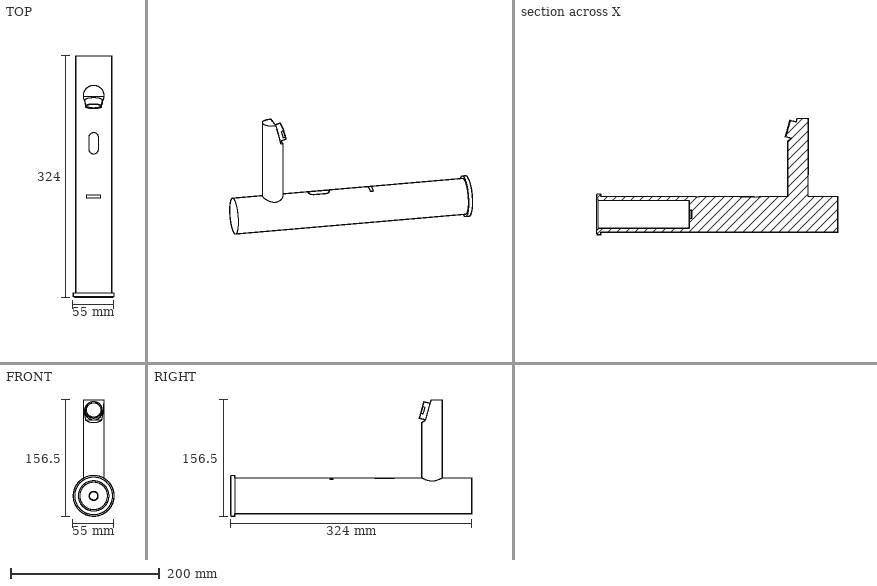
import cadquery as cq
import math

LENGTH = 324.0
BODY_RADIUS = 24.3
FLANGE_RADIUS = 27.5
FLANGE_WIDTH = 5.8
FLANGE_CHAMFER_RADIAL = 2.3
FLANGE_CHAMFER_AXIAL = 1.0
BORE_RADIUS = 18.5
BORE_DEPTH = 124.5
MOUTH_RADIUS = 20.5
MOUTH_DEPTH = 2.0
INLET_RADIUS = 5.5
INLET_DEPTH = 3.2
INLET_MOUTH_RADIUS = 6.0
INLET_MOUTH_DEPTH = 1.0

SPOUT_RADIUS = 14.0
SPOUT_Y = LENGTH - 53.5
SPOUT_TOP = 156.5 - FLANGE_RADIUS
FACE_TILT = 15.5
FACE_OFFSET = 1.3
FACE_DROP = 27.2
LEDGE_DROP = 30.8

OUTLET_RADIUS = 11.7
OUTLET_LENGTH = 8.7
OUTLET_DROP = 16.0
OUTLET_EMBED = 1.5
OUTLET_RECESS_RADIUS = 9.88
OUTLET_RECESS_DEPTH = 0.5
FLAT_SPACING = 21.5
FLAT_LENGTH = 3.5

WINDOW_Y = LENGTH - 117.3
WINDOW_LENGTH = 28.8
WINDOW_WIDTH = 12.5
MARKER_Y = LENGTH - 188.5
MARKER_LENGTH = 18.8
MARKER_WIDTH = 4.2
INLAY_DEPTH = 0.3


def cylinder_along_y(radius, start, length):
    plane = cq.Plane(origin=(0, start, 0), xDir=(1, 0, 0), normal=(0, 1, 0))
    return cq.Workplane(plane).circle(radius).extrude(length)


def make_body():
    """Solid body and flange, revolved about the Y axis."""
    return (
        cq.Workplane("XY")
        .moveTo(0, 0)
        .lineTo(FLANGE_RADIUS - FLANGE_CHAMFER_RADIAL, 0)
        .lineTo(FLANGE_RADIUS, FLANGE_CHAMFER_AXIAL)
        .lineTo(FLANGE_RADIUS, FLANGE_WIDTH)
        .lineTo(BODY_RADIUS, FLANGE_WIDTH)
        .lineTo(BODY_RADIUS, LENGTH)
        .lineTo(0, LENGTH)
        .close()
        .revolve(360, (0, 0, 0), (0, 1, 0))
    )


def make_bore():
    """Stepped mouth, main bore and the small stepped inlet hole in its floor."""
    mouth = cylinder_along_y(MOUTH_RADIUS, 0, MOUTH_DEPTH)
    bore = cylinder_along_y(BORE_RADIUS, 0, BORE_DEPTH)
    inlet = cylinder_along_y(INLET_RADIUS, 0, BORE_DEPTH + INLET_DEPTH)
    inlet_mouth = cylinder_along_y(INLET_MOUTH_RADIUS, 0, BORE_DEPTH + INLET_MOUTH_DEPTH)
    return mouth.union(bore).union(inlet).union(inlet_mouth)


def face_y(drop):
    """Y of the inclined outlet face at a given drop below the spout top."""
    return SPOUT_Y - FACE_OFFSET - drop * math.tan(math.radians(FACE_TILT))


def make_spout():
    """Upright cylinder cut by the outlet face and the sloping ledge below it."""
    spout = cq.Workplane("XY").center(0, SPOUT_Y).circle(SPOUT_RADIUS).extrude(SPOUT_TOP)
    front = SPOUT_Y - SPOUT_RADIUS
    notch = (
        cq.Workplane("YZ")
        .moveTo(face_y(0), SPOUT_TOP)
        .lineTo(face_y(FACE_DROP), SPOUT_TOP - FACE_DROP)
        .lineTo(front, SPOUT_TOP - LEDGE_DROP)
        .lineTo(front, SPOUT_TOP)
        .close()
        .extrude(SPOUT_RADIUS, both=True)
    )
    return spout.cut(notch)


def make_outlet():
    """Nozzle normal to the outlet face, with a shallow recess and two flats at its tip."""
    tilt = math.radians(FACE_TILT)
    plane = cq.Plane(
        origin=(0, face_y(OUTLET_DROP), SPOUT_TOP - OUTLET_DROP),
        xDir=(1, 0, 0),
        normal=(0, -math.cos(tilt), math.sin(tilt)),
    )
    nozzle = (
        cq.Workplane(plane)
        .workplane(offset=-OUTLET_EMBED)
        .circle(OUTLET_RADIUS)
        .extrude(OUTLET_EMBED + OUTLET_LENGTH)
    )
    recess = (
        cq.Workplane(plane)
        .workplane(offset=OUTLET_LENGTH - OUTLET_RECESS_DEPTH)
        .circle(OUTLET_RECESS_RADIUS)
        .extrude(OUTLET_RECESS_DEPTH)
    )
    tip = cq.Workplane(plane).workplane(offset=OUTLET_LENGTH - FLAT_LENGTH)
    outside_flats = (
        tip.circle(2 * OUTLET_RADIUS).extrude(FLAT_LENGTH)
        .cut(tip.rect(FLAT_SPACING, 4 * OUTLET_RADIUS).extrude(FLAT_LENGTH))
    )
    return nozzle.cut(recess).cut(outside_flats)


def follow_surface(column):
    """Part of an upright column lying in the outer skin of the body."""
    return column.cut(cylinder_along_y(BODY_RADIUS - INLAY_DEPTH, 0, LENGTH))


def make_window():
    """Shallow rounded slot that follows the curve of the body."""
    window = cq.Workplane("XY").center(0, WINDOW_Y).slot2D(WINDOW_LENGTH, WINDOW_WIDTH, 90)
    return follow_surface(window.extrude(BODY_RADIUS))


def make_marker():
    """Shallow bar across the body, following its curve."""
    marker = cq.Workplane("XY").center(0, MARKER_Y).rect(MARKER_LENGTH, MARKER_WIDTH)
    return follow_surface(marker.extrude(BODY_RADIUS))


result = (
    make_body()
    .union(make_spout())
    .union(make_outlet())
    .cut(make_window())
    .cut(make_marker())
    .cut(make_bore())
)